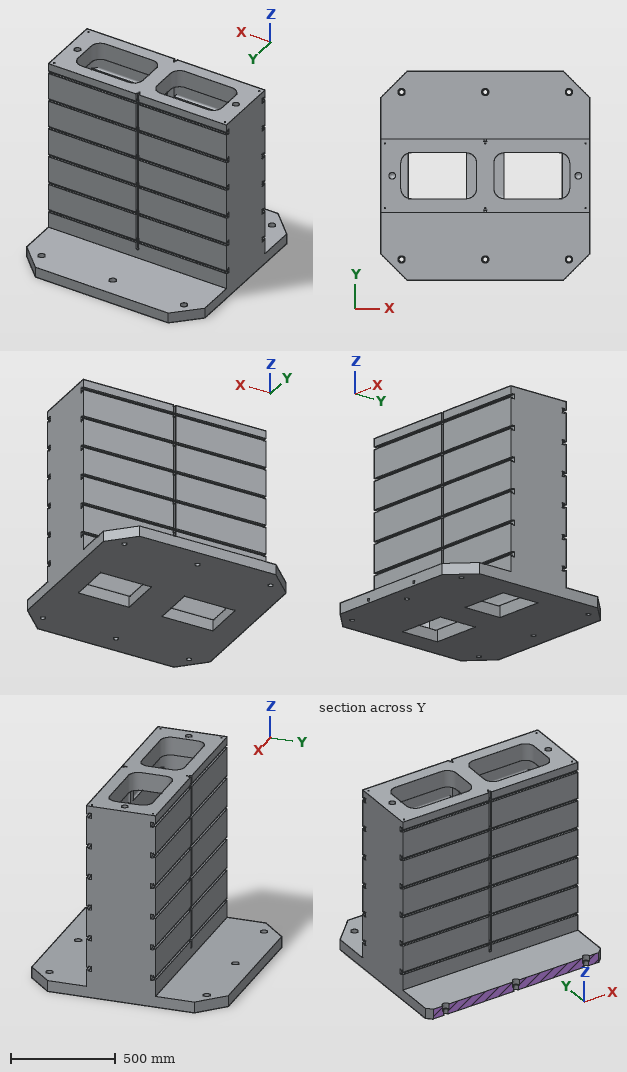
import cadquery as cq
import math

side = 1000.0
base_thickness = 57.0
corner_cut = 127.0

column_width = 352.0
height = 1000.0

slot_count = 6
slot_pitch = 160.0
first_slot_z = 150.0
slot_neck_width = 14.0
slot_neck_depth = 12.0
slot_head_width = 24.0
slot_depth = 25.0

keyway_width = 14.0
keyway_depth = 11.0
keyway_bottom_z = 104.0

opening_inner_x = 41.0
opening_outer_x = 404.0
opening_width = 220.0
opening_radius = 50.0
lip_thickness = 93.0

core_length = 946.0
core_width = 252.0
core_corner_radius = 63.0
core_floor_fillet = 32.0

recess_inner_x = 19.0
recess_depth = 10.0
recess_bottom_z = 820.0

window_inner_x = 90.0
window_outer_x = 368.0
window_width = 220.0

mount_spacing = 400.0
mount_bore = 24.0
mount_counterbore = 35.0
mount_counterbore_depth = 30.0
lift_hole = 32.0
lift_hole_x = 445.0
lift_hole_depth = 60.0
drill_point_angle = 118.0
pin_hole = 5.0
pin_hole_depth = 15.0
pin_hole_x = 480.0
pin_hole_y = 155.0
edge_hole = 14.0
edge_hole_x = 166.0
edge_hole_z = 18.0
edge_hole_depth = 30.0


def box(x_start, x_end, width, z_start, z_end):
    """Block between two X and two Z positions, centred on Y."""
    return (
        cq.Workplane("XY")
        .box(x_end - x_start, width, z_end - z_start, centered=(False, True, False))
        .translate((x_start, 0, z_start))
    )


def mirrored_pair(solid, plane):
    return solid.union(solid.mirror(plane))


def make_body():
    base = box(-side / 2, side / 2, side, 0, base_thickness).edges("|Z").chamfer(corner_cut)
    return base.union(box(-side / 2, side / 2, column_width, 0, height))


def make_t_slots():
    """T-slots of the -Y face and the +Y face."""
    face_y = -column_width / 2
    slots = cq.Workplane("XY")
    for index in range(slot_count):
        z = first_slot_z + index * slot_pitch
        neck = cq.Workplane("XY").box(side, slot_depth, slot_neck_width)
        head_depth = slot_depth - slot_neck_depth
        head = cq.Workplane("XY").box(side, head_depth, slot_head_width)
        slots = slots.add(neck.translate((0, face_y + slot_depth / 2, z)))
        slots = slots.add(head.translate((0, face_y + slot_depth - head_depth / 2, z)))
    return mirrored_pair(slots.combine(), "XZ")


def make_keyways():
    """Vertical keyways with a half-round lower end."""
    end_radius = keyway_width / 2
    keyway = (
        cq.Workplane("XZ", origin=(0, -column_width / 2, 0))
        .moveTo(-end_radius, height)
        .lineTo(-end_radius, keyway_bottom_z + end_radius)
        .threePointArc((0, keyway_bottom_z), (end_radius, keyway_bottom_z + end_radius))
        .lineTo(end_radius, height)
        .close()
        .extrude(-keyway_depth)
    )
    return mirrored_pair(keyway, "XZ")


def make_cavity():
    """Hollow core, its recesses, the top openings and the floor windows."""
    lip_z = height - lip_thickness
    core_end = core_length / 2
    recessed_width = core_width + 2 * recess_depth
    outline = box(-core_end, core_end, recessed_width, base_thickness, lip_z)
    outline = outline.edges("|Z").fillet(core_corner_radius)
    core = outline.intersect(box(-core_end, core_end, core_width, base_thickness, lip_z))
    core = core.faces("<Z").edges("|X").fillet(core_floor_fillet)

    recess = box(recess_inner_x, core_end, recessed_width, recess_bottom_z, lip_z)
    recess = recess.edges("(<Z and |X) or (<X and |Z)").fillet(recess_depth)
    recess = recess.intersect(outline)
    opening = box(opening_inner_x, opening_outer_x, opening_width, lip_z, height)
    opening = opening.edges("|Z").fillet(opening_radius)
    window = box(window_inner_x, window_outer_x, window_width, 0, base_thickness + core_floor_fillet)
    bay = recess.union(opening).union(window)
    return core.union(mirrored_pair(bay, "YZ"))


def cut_base_holes(body):
    """Counterbored mounting holes in two rows of three, and two blind holes in the -Y edge."""
    mounts = [(x, y) for x in (-mount_spacing, 0, mount_spacing) for y in (-mount_spacing, mount_spacing)]
    bores = cq.Workplane("XY").pushPoints(mounts).circle(mount_bore / 2).extrude(base_thickness)
    counterbores = (
        cq.Workplane("XY", origin=(0, 0, base_thickness))
        .pushPoints(mounts)
        .circle(mount_counterbore / 2)
        .extrude(-mount_counterbore_depth)
    )
    edge_holes = (
        cq.Workplane("XZ", origin=(0, -side / 2, 0))
        .pushPoints([(-edge_hole_x, edge_hole_z), (edge_hole_x, edge_hole_z)])
        .circle(edge_hole / 2)
        .extrude(-edge_hole_depth)
    )
    return body.cut(bores).cut(counterbores).cut(edge_holes)


def drilled_hole():
    """Blind hole with a conical tip, opening at the column top."""
    radius = lift_hole / 2
    tip_length = radius / math.tan(math.radians(drill_point_angle / 2))
    return (
        cq.Workplane("XZ")
        .moveTo(0, height)
        .lineTo(radius, height)
        .lineTo(radius, height - lift_hole_depth)
        .lineTo(0, height - lift_hole_depth - tip_length)
        .close()
        .revolve(360, (0, 0), (0, 1))
    )


def cut_top_holes(body):
    """Drilled lifting holes and small pin holes in the column top."""
    for x in (-lift_hole_x, lift_hole_x):
        body = body.cut(drilled_hole().translate((x, 0, 0)))
    pins = [(x, y) for x in (-pin_hole_x, 0, pin_hole_x) for y in (-pin_hole_y, pin_hole_y)]
    pin_holes = (
        cq.Workplane("XY", origin=(0, 0, height))
        .pushPoints(pins)
        .circle(pin_hole / 2)
        .extrude(-pin_hole_depth)
    )
    return body.cut(pin_holes)


result = make_body().cut(make_t_slots()).cut(make_keyways()).cut(make_cavity())
result = cut_base_holes(result)
result = cut_top_holes(result)